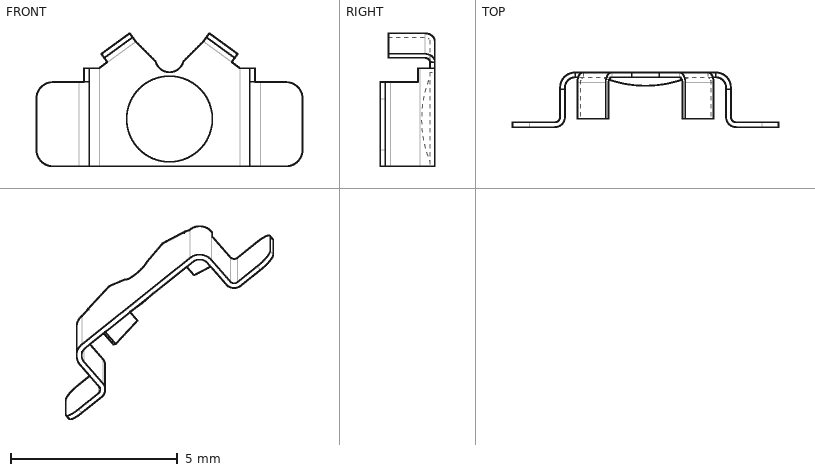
import cadquery as cq
import math

length = 8.0
depth = 1.65
height = 4.0
thickness = 0.15

wall_half_width = 2.57
web_bend_radius = 0.46
flange_bend_radius = 0.3
wall_height = 2.95
flange_height = 2.54
flange_corner_radius = 0.5
wall_step_depth = 0.51

notch_bottom = 2.83
notch_arc_half_width = 0.42
notch_slope = 45.0
tab_slope = 36.0
tab_width = 1.06
tab_inner_x = 1.02
tab_bend_radius = 0.3
tab_reach = 1.4

dome_radius = 1.29
dome_height = 0.26
dome_center_height = 1.42

half_length = length / 2
web_half_width = wall_half_width - web_bend_radius


def bent_sheet(plane, reach, bend_radius, width):
    """Sheet leaving the plane's origin along +x and bent to run along -y up to y = -reach."""
    inner_radius = bend_radius - thickness
    outer_mid = bend_radius * math.sqrt(0.5)
    inner_mid = inner_radius * math.sqrt(0.5)
    return (
        cq.Workplane(plane)
        .threePointArc((outer_mid, outer_mid - bend_radius), (bend_radius, -bend_radius))
        .lineTo(bend_radius, -reach)
        .lineTo(inner_radius, -reach)
        .lineTo(inner_radius, -bend_radius)
        .threePointArc((inner_mid, inner_mid - bend_radius), (0, -thickness))
        .close()
        .extrude(width)
    )


def side_wall():
    """Right side wall with its bend from the web; its upper front is cut away."""
    plane = cq.Plane(origin=(web_half_width, 0, 0), xDir=(1, 0, 0), normal=(0, 0, 1))
    wall = bent_sheet(plane, depth - flange_bend_radius, web_bend_radius, wall_height)
    cut = cq.Workplane("XY").box(length, depth, height, centered=(True, False, False))
    return wall.cut(cut.translate((0, -wall_step_depth - depth, flange_height)))


def flange():
    """Right mounting flange with its bend from the side wall and two rounded free corners."""
    inner_radius = flange_bend_radius - thickness
    center_x = wall_half_width + inner_radius
    center_y = -depth + flange_bend_radius
    diagonal = math.sqrt(0.5)
    body = (
        cq.Workplane("XY")
        .moveTo(wall_half_width - thickness, center_y)
        .threePointArc(
            (center_x - flange_bend_radius * diagonal, center_y - flange_bend_radius * diagonal),
            (center_x, -depth),
        )
        .lineTo(half_length, -depth)
        .lineTo(half_length, -depth + thickness)
        .lineTo(center_x, -depth + thickness)
        .threePointArc(
            (center_x - inner_radius * diagonal, center_y - inner_radius * diagonal),
            (wall_half_width, center_y),
        )
        .close()
        .extrude(flange_height)
    )
    return body.edges("|Y and >X").fillet(flange_corner_radius)


tab_angle = math.radians(tab_slope)
notch_angle = math.radians(notch_slope)
tab_inner_z = height - tab_bend_radius * math.cos(tab_angle)
notch_corner_z = tab_inner_z - (tab_inner_x - notch_arc_half_width) * math.tan(notch_angle)
tab_outer_x = tab_inner_x + tab_width * math.cos(tab_angle)
tab_outer_z = tab_inner_z - tab_width * math.sin(tab_angle)


def web():
    """Flat plate between the two web bends, with the rounded V notch in its top."""
    return (
        cq.Workplane("XZ")
        .moveTo(-web_half_width, 0)
        .lineTo(web_half_width, 0)
        .lineTo(web_half_width, wall_height)
        .lineTo(tab_outer_x, tab_outer_z)
        .lineTo(tab_inner_x, tab_inner_z)
        .lineTo(notch_arc_half_width, notch_corner_z)
        .threePointArc((0, notch_bottom), (-notch_arc_half_width, notch_corner_z))
        .lineTo(-tab_inner_x, tab_inner_z)
        .lineTo(-tab_outer_x, tab_outer_z)
        .lineTo(-web_half_width, wall_height)
        .close()
        .extrude(thickness)
    )


def tab():
    """Right tab, bent forward about the sloping top edge of the web."""
    plane = cq.Plane(
        origin=(tab_outer_x, 0, tab_outer_z),
        xDir=(math.sin(tab_angle), 0, math.cos(tab_angle)),
        normal=(-math.cos(tab_angle), 0, math.sin(tab_angle)),
    )
    return bent_sheet(plane, tab_reach, tab_bend_radius, tab_width)


def cap_depth(offset):
    """Height of the dome surface at a distance from its axis."""
    sphere_radius = (dome_radius**2 + dome_height**2) / (2 * dome_height)
    return math.sqrt(sphere_radius**2 - offset**2) - (sphere_radius - dome_height)


def dome():
    """Spherical cap standing on the front face of the web."""
    cap = (
        cq.Workplane("XY")
        .moveTo(0, -thickness)
        .lineTo(dome_radius, -thickness)
        .threePointArc(
            (dome_radius / 2, -thickness - cap_depth(dome_radius / 2)),
            (0, -thickness - dome_height),
        )
        .close()
        .revolve(360, (0, 0, 0), (0, 1, 0))
    )
    return cap.translate((0, 0, dome_center_height))


result = web().union(dome())
for feature in (side_wall(), flange(), tab()):
    result = result.union(feature).union(feature.mirror("YZ"))